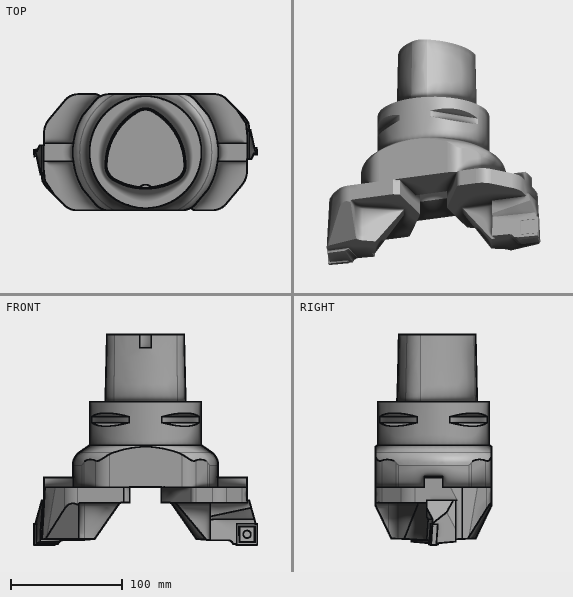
import cadquery as cq
import math


collar_radius = 50.0
collar_bottom = 37.4
collar_top = 76.2
hub_radius = 65.0
half_width = 52.0
cone_angle = 35.0
cone_round = 14.0
hub_flat_half_length = 40.0
corner_angle = 50.0
corner_round = 16.0
end_corner_reach = 40.0

shank_length = 60.2
shank_size = 72.0
shank_top_size = 69.2
shank_lobe_radius = 15.2
notch_radius = 7.0
notch_center_y = -36.0
notch_depth = 11.8

grip_distance = 44.2
grip_middle = 60.2
grip_floor_height = 5.2
grip_mouth_height = 11.8

key_width = 16.4
key_height = 8.5
keyway_height = 9.2

plate_thickness = 14.0
plate_end = -90.8
plate_inner_end = -14.0
plate_back_round = 16.0
plate_end_round = 20.0
plate_front_flat = -67.2
plate_front_inner = -42.0
plate_inner_round = 4.8
plate_inner_angle = 60.0
plate_chamfer_x = 5.4
wall_angle = 30.0
back_slant_offset = 119.8

leg_bottom = -47.5
leg_tilt = 2.0
leg_step_x = -59.8
wall_round = 10.0
wall_start_y = -40.4
gullet_y = -2.0
root_round = 1.8
inner_edge_top = (-23.0, -13.0, -14.0)
inner_edge_low = (-46.4, -26.2, -47.5)
inner_corner = (-26.8, gullet_y, -14.0)

end_corner_top = (-89.5, -25.8, 0)
end_corner_low = (-92.2, -25.8, -46.0)
end_face_start = (plate_end, -15.0, 0)
back_slant_start = (-80.8, -39.0, 0)

under_slope_top = (leg_step_x, -half_width, -16.2)
under_slope_low = (leg_step_x, -37.4, -46.5)
under_slope_tip = (-88.8, -30.5, -46.4)

head_inner = -58.0
head_front = 6.2
head_back = -20.0
head_top = -11.5
head_top_end = -92.5
head_bottom = -51.2
head_end_angle = 15.4
head_relief = 5.2
head_root_x = -73.4
head_root_radius = 5.2
flank_front = (-98.2, 0.2, -31.8)
flank_top = (-95.5, -11.8, -22.5)
flank_back = (-93.8, head_back, -37.8)
flank_ledge = (head_top_end, -17.8, head_top)
facet_inner = (head_inner, head_front, -26.2)
facet_outer = (-95.0, head_front, -18.4)
outer_limit = -104.0

insert_size = 18.5
insert_thickness = 4.8
overall_length = 200.0
insert_x = (insert_size - overall_length) / 2
insert_z = -42.2
rake_top = -28.5
rake_edge_x = -97.5
rake_edge_y = 0.8
rake_slope_x = 0.1
rake_slope_z = -0.07
groove_size = 14.4
groove_width = 0.5
groove_depth = 0.4
screw_diameter = 6.8
screw_length = 12.0

cutter_size = 399.9


def half_space(a, b, c):
    """Large block on the side of the plane abc from which a, b, c run counterclockwise."""
    normal = (cq.Vector(*b) - cq.Vector(*a)).cross(cq.Vector(*c) - cq.Vector(*a))
    plane = cq.Plane(origin=a, normal=normal.toTuple())
    return cq.Workplane(plane).rect(cutter_size, cutter_size).extrude(cutter_size)


def level_prism(outline, bottom, top):
    return cq.Workplane("XY").workplane(offset=bottom).polyline(outline).close().extrude(top - bottom)


def tan_deg(angle):
    return math.tan(math.radians(angle))


def polar(radius, angle):
    return (radius * math.cos(math.radians(angle)), radius * math.sin(math.radians(angle)))


def rake_y(x, z):
    return rake_edge_y + rake_slope_x * (x - rake_edge_x) + rake_slope_z * (z - rake_top)


def lobed_section(workplane, growth):
    """Rounded triangle of constant width with one lobe towards +Y, grown outwards by an amount."""
    lobe_radius = shank_lobe_radius + growth
    lobe_center = (shank_size - 2 * shank_lobe_radius) / math.sqrt(3)
    lobe_reach = lobe_center + lobe_radius
    flank_reach = shank_size + growth - shank_lobe_radius - lobe_center
    end_reach = math.hypot(lobe_center + lobe_radius * math.cos(math.pi / 6), lobe_radius / 2)
    end_swing = math.degrees(math.asin(lobe_radius / 2 / end_reach))
    section = workplane.moveTo(*polar(end_reach, 90 - end_swing))
    lobe_spacing = 120
    for lobe in range(3):
        lobe_angle = 90 + lobe * lobe_spacing
        lobe_end = polar(end_reach, lobe_angle + end_swing)
        next_lobe_start = polar(end_reach, lobe_angle + lobe_spacing - end_swing)
        section = section.threePointArc(polar(lobe_reach, lobe_angle), lobe_end)
        section = section.threePointArc(polar(flank_reach, lobe_angle + lobe_spacing / 2), next_lobe_start)
    return section.close()


def make_shank():
    base = lobed_section(cq.Workplane("XY").workplane(offset=collar_top), 0)
    top_growth = (shank_top_size - shank_size) / 2
    shank = lobed_section(base.workplane(offset=shank_length), top_growth).loft(ruled=True)
    notch = (
        cq.Workplane("XY").workplane(offset=collar_top + shank_length - notch_depth)
        .center(0, notch_center_y).circle(notch_radius).extrude(notch_depth)
    )
    return shank.cut(notch)


def make_hub():
    """Hub with a rounded conical shoulder, two side flats and four slanted corner flats."""
    tip_x = hub_flat_half_length + half_width / tan_deg(corner_angle)
    hexagon = [(hub_flat_half_length, half_width), (-hub_flat_half_length, half_width), (-tip_x, 0),
               (-hub_flat_half_length, -half_width), (hub_flat_half_length, -half_width), (tip_x, 0)]
    flats = level_prism(hexagon, 0, collar_bottom)
    flats = flats.edges("|Z").edges("<Y or >Y").fillet(corner_round)
    hub = flats.intersect(cq.Workplane("XY").circle(hub_radius).extrude(collar_bottom))
    flat_ends = cq.selectors.BoxSelector((-hub_radius, -end_corner_reach, 0),
                                         (hub_radius, end_corner_reach, collar_bottom))
    hub = hub.edges("|Z").edges(flat_ends).fillet(corner_round)

    cone = math.radians(cone_angle)
    shoulder_z = collar_bottom - (hub_radius - collar_radius) * math.tan(cone)
    tangent = cone_round * math.tan((math.pi / 2 - cone) / 2)
    cone_end = (hub_radius - tangent * math.cos(cone), shoulder_z + tangent * math.sin(cone))
    outside = (
        cq.Workplane("XZ")
        .moveTo(collar_radius, collar_bottom).lineTo(*cone_end)
        .radiusArc((hub_radius, shoulder_z - tangent), cone_round)
        .lineTo(2 * hub_radius, shoulder_z - tangent).lineTo(2 * hub_radius, collar_bottom)
        .close().revolve(360, (0, 0, 0), (0, 1, 0))
    )
    return hub.cut(outside)


def make_grip_slot():
    """Tapered slot, to be turned about Z into its place on the collar."""
    flare = (grip_mouth_height - grip_floor_height) / 2 / (collar_radius - grip_distance)
    reach = 2 * collar_radius - grip_distance
    floor_half = grip_floor_height / 2
    mouth_half = floor_half + flare * (reach - grip_distance)
    return (
        cq.Workplane("XZ").center(0, grip_middle)
        .polyline([(grip_distance, -floor_half), (reach, -mouth_half), (reach, mouth_half),
                   (grip_distance, floor_half)])
        .close().extrude(collar_radius, both=True)
    )


def make_holder():
    collar = (
        cq.Workplane("XY").workplane(offset=collar_bottom)
        .circle(collar_radius).extrude(collar_top - collar_bottom)
    )
    holder = make_hub().union(collar).union(make_shank())
    for quarter in range(4):
        holder = holder.cut(make_grip_slot().rotate((0, 0, 0), (0, 0, 1), 45 + 90 * quarter))
    keyway = cq.Workplane("XY").rect(4 * hub_radius, key_width).extrude(keyway_height)
    return holder.cut(keyway)


def plate_outline():
    diagonal_drop = (plate_front_flat - plate_end) * tan_deg(corner_angle)
    chamfer_y = plate_chamfer_x * tan_deg(wall_angle)
    inner_drop = (plate_inner_end - plate_front_inner) * tan_deg(plate_inner_angle)
    return [
        (plate_end, half_width - diagonal_drop),
        (plate_end, -plate_end - back_slant_offset),
        (half_width - back_slant_offset, -half_width),
        (plate_inner_end - plate_chamfer_x, -half_width),
        (plate_inner_end, -half_width + chamfer_y),
        (plate_inner_end, half_width - inner_drop),
        (plate_front_inner, half_width),
        (plate_front_flat, half_width),
    ]


def make_plate():
    outline = plate_outline()
    plate = level_prism(outline, -plate_thickness, 0)
    rounds = [(0, plate_end_round), (2, plate_back_round), (6, plate_inner_round), (7, corner_round)]
    for index, radius in rounds:
        x, y = outline[index]
        corner = cq.selectors.NearestToPointSelector((x, y, -plate_thickness / 2))
        plate = plate.edges("|Z").edges(corner).fillet(radius)
    key = level_prism(outline, 0, key_height)
    key = key.intersect(cq.Workplane("XY").rect(cutter_size, key_width).extrude(key_height))
    return plate.union(key)


def make_leg():
    """Leg between the wall behind it and the gullet in front of it."""
    turn = math.radians(90 - wall_angle)
    round_end = (leg_step_x + wall_round * (1 - math.cos(turn)), wall_start_y + wall_round * math.sin(turn))
    round_middle = (leg_step_x + wall_round * (1 - math.cos(turn / 2)),
                    wall_start_y + wall_round * math.sin(turn / 2))
    wall_end = (plate_inner_end, round_end[1] + (plate_inner_end - round_end[0]) * tan_deg(wall_angle))
    leg = (
        cq.Workplane("XY").workplane(offset=head_bottom)
        .moveTo(outer_limit, -half_width).lineTo(leg_step_x, -half_width).lineTo(leg_step_x, wall_start_y)
        .threePointArc(round_middle, round_end).lineTo(*wall_end)
        .lineTo(plate_inner_end, gullet_y).lineTo(head_inner, gullet_y).lineTo(head_inner, head_front)
        .lineTo(plate_end, head_front).lineTo(plate_end, head_back).lineTo(outer_limit, head_back)
        .close().extrude(head_top - head_bottom)
    )
    leg = leg.cut(half_space(inner_edge_top, inner_edge_low, inner_corner))
    rise = (head_front - head_back) * tan_deg(leg_tilt)
    return leg.cut(half_space((0, head_front, leg_bottom), (0, head_back, leg_bottom + rise),
                              (plate_end, head_front, leg_bottom)))


def trim_back(cartridge):
    """Slanted end faces, 45 degree back side with its round and sloping face below it."""
    cartridge = cartridge.cut(half_space(end_face_start, end_corner_low, end_corner_top))
    cartridge = cartridge.cut(half_space(end_corner_top, end_corner_low, back_slant_start))
    rounded = level_prism([(outer_limit, half_width), (outer_limit, -back_slant_offset - outer_limit),
                           (half_width - back_slant_offset, -half_width), (0, -half_width),
                           (0, half_width)], head_bottom, key_height)
    corner_middle = (half_width - back_slant_offset, -half_width, head_bottom / 2)
    corner = cq.selectors.NearestToPointSelector(corner_middle)
    cartridge = cartridge.intersect(rounded.edges("|Z").edges(corner).fillet(plate_back_round))
    return cartridge.cut(half_space(under_slope_top, under_slope_tip, under_slope_low))


def make_head():
    """Head that carries the insert."""
    root_center_z = leg_bottom - head_root_radius
    root_side = head_root_x - math.sqrt(head_root_radius**2 - (head_bottom - root_center_z)**2)
    half_turn = math.asin((head_root_x - root_side) / head_root_radius) / 2
    root_middle = (head_root_x - head_root_radius * math.sin(half_turn),
                   leg_bottom - head_root_radius * (1 - math.cos(half_turn)))
    slope_end = head_top_end - (head_top - head_bottom) * tan_deg(head_end_angle)
    head = (
        cq.Workplane("XZ", origin=(0, head_front, 0))
        .moveTo(head_root_x, head_top).lineTo(head_root_x, leg_bottom)
        .threePointArc(root_middle, (root_side, head_bottom))
        .lineTo(slope_end, head_bottom).lineTo(head_top_end, head_top)
        .close().extrude(head_front - head_back)
    )
    flank_foot = (flank_front[0], flank_front[1], head_bottom)
    head = head.cut(half_space(flank_top, flank_front, flank_foot))
    head = head.cut(half_space(flank_top, flank_back, flank_ledge))
    rise = (head_front - head_back) * tan_deg(head_relief)
    return head.cut(half_space((0, head_front, head_bottom), (0, head_back, head_bottom + rise),
                               (plate_end, head_front, head_bottom)))


def rake_pocket():
    """Space in front of the rake face and below the slanted face that leads to it."""
    front_of_rake = half_space((head_inner, rake_y(head_inner, rake_top), rake_top),
                               (head_inner, rake_y(head_inner, leg_bottom), leg_bottom),
                               (rake_edge_x, rake_edge_y, rake_top))
    below_facet = half_space(facet_outer, facet_inner, (rake_edge_x, rake_edge_y, rake_top))
    chamber = level_prism([(head_inner, head_back), (head_inner, head_front), (outer_limit, head_front),
                           (outer_limit, head_back)], head_bottom, -plate_thickness)
    return chamber.intersect(front_of_rake).intersect(below_facet)


def make_cartridge_blank():
    blank = make_plate().union(make_leg())
    blank = trim_back(blank)
    margin = 0.2
    step_middle_y = (wall_start_y - half_width) / 2
    root = cq.selectors.BoxSelector((leg_step_x - margin, step_middle_y - margin, -plate_thickness - margin),
                                    (plate_inner_end, gullet_y + margin, -plate_thickness + margin))
    blank = blank.edges(root).fillet(root_round)
    return blank.union(make_head()).cut(rake_pocket())


def rake_plane():
    """Plane of the rake face at the middle of the insert, pointing away from the head."""
    origin = (insert_x, rake_y(insert_x, insert_z), insert_z)
    return cq.Plane(origin=origin, xDir=(1, rake_slope_x, 0), normal=(-rake_slope_x, 1, -rake_slope_z))


def insert_block():
    return cq.Workplane(rake_plane()).rect(insert_size, insert_size).extrude(-insert_thickness)


def make_screw():
    return cq.Workplane(rake_plane()).circle(screw_diameter / 2).extrude(-screw_length)


def make_insert():
    groove_inner = groove_size - 2 * groove_width
    groove = (
        cq.Workplane(rake_plane()).rect(groove_size, groove_size).rect(groove_inner, groove_inner)
        .extrude(-groove_depth)
    )
    return insert_block().cut(groove).cut(make_screw())


def make_cartridge():
    return make_cartridge_blank().cut(insert_block()).cut(make_screw())


def on_both_sides(body):
    """The body on the -X side and its copy turned half a turn about the tool axis."""
    return [body.rotate((0, 0, 0), (0, 0, 1), angle).solids().val() for angle in (0, 180)]


holder = make_holder().solids().val()
cartridges = on_both_sides(make_cartridge())
inserts = on_both_sides(make_insert())
screws = on_both_sides(make_screw())

result = cq.Compound.makeCompound([holder, *cartridges, *inserts, *screws])